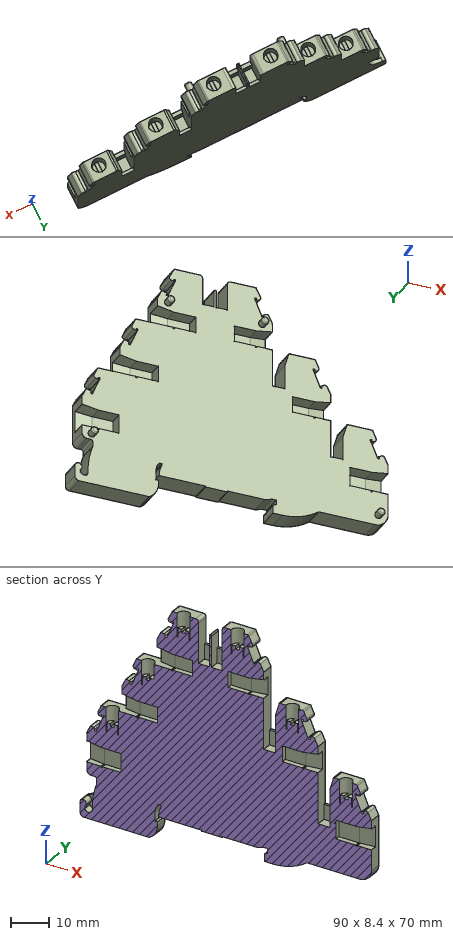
import cadquery as cq

LENGTH = 90.0
HEIGHT = 70.0
THICKNESS = 6.0

TIER_TOPS = [35.2, 52.5, HEIGHT]
LEFT_FACES = [2.1, 13.0, 23.8]
RIGHT_FACES = [LENGTH, 73.5, 56.8]

LIP_TOP_IN = 4.5
LIP_NOSE_IN = 3.4
LIP_FACE_IN = 3.5
LIP_UNDERSIDE_IN = 3.9
LIP_NOSE_HIGH = 2.2
LIP_NOSE_LOW = 3.2
LIP_ROOT_IN = 4.95
LIP_ROOT_DOWN = 3.5
NOTCH_FOOT_IN = 3.15
NOTCH_FOOT_DOWN = 7.7
BUMP_INNER_IN = 2.25
BUMP_OUTER_IN = 1.1
BUMP_DOWN = 7.0
BUMP_RISE = 0.3
SHOULDER_DOWN = 9.45
NOTCH_DROPS = [0, 0, 0.3]
TOP_ROUND = 0.3
RELIEF_RADIUS = 0.3
RELIEF_OFFSETS = [(4.9, 3.15), (2.8, 7.9)]
RELIEF_DEPTH = 5.6

SIDE_SLOT_WIDTH = 3.5
SIDE_SLOT_DEPTH = 10.8
TOWER_DRAFT_DEPTH = 4.0
TOWER_DRAFT_WIDTH = 1.2
TOWER_ROUND = 0.45
TOP_SLOT_WIDTH = 7.1
TOP_SLOT_DEPTH = 8.6
TOP_SLOT_ROUND = 0.9
TOP_CENTER_X = (LEFT_FACES[2] + RIGHT_FACES[2]) / 2
RECESS_FRONT = 1.1
RECESS_BACK = 5.2
RECESS_DEPTH = 4.5

PLATE_THICKNESS = 0.7
PLATE_TOP = 66.5
PLATE_POINT = 0.3

POCKET_INNER_LENGTH = 6.3
SHORT_POCKET_INNER_LENGTH = 5.9
POCKET_MOUTH_LENGTH = 4.7
POCKET_INNER_DEPTH = 3.9
POCKET_MOUTH_DEPTHS = [4.4, 4.6, 4.6]
POCKET_FLOORS = [17.0, TIER_TOPS[0], TIER_TOPS[1]]
POCKET_HEIGHTS = [5.5, 4.6, 4.6]
POCKET_MOUTH_RISES = [0.7, 0.8, 0.8]
GROOVE_WIDTH = 0.4
GROOVE_DEPTH = 0.3

WELL_DIAMETER = 3.8
WELL_DEPTH = 7.2
WELLS_IN = [7.9, 8.0, 8.2]
WELL_Y = 2.5
SCREW_DIAMETER = 3.5
SCREW_DOWN = 4.5
DRIVER_SLOT_WIDTH = 1.0
DRIVER_SLOT_DEPTH = 0.9

PIN_DIAMETER = 2.0
PIN_LENGTH = 2.4
PIN_TIP_DIAMETER = 1.2
PIN_CENTERS = [(4.8, 14.9), (26.7, 59.5), (53.7, 59.5), (87.1, 10.1)]

BASE_Z = 7.0
CORNER_RADIUS = 3.8
PAD_START = 37.5
PAD_END = 43.8
PAD_Z = 6.75
WEB_FRONT = 4.95


def tower_edge(face, top, drop, inward):
    """Tower edge from the shoulder up to the top corner; inward is +1 on the left, -1 on the right.

    Each entry is a point and whether it is the mid-point of an arc to the next point.
    """
    offsets = [
        (0, SHOULDER_DOWN + drop, False),
        (BUMP_OUTER_IN, BUMP_DOWN + BUMP_RISE + drop, False),
        ((BUMP_OUTER_IN + BUMP_INNER_IN) / 2, BUMP_DOWN + drop, True),
        (BUMP_INNER_IN, BUMP_DOWN + BUMP_RISE + drop, False),
        (NOTCH_FOOT_IN, NOTCH_FOOT_DOWN + drop, False),
        (LIP_ROOT_IN, LIP_ROOT_DOWN + drop, False),
        (LIP_UNDERSIDE_IN, LIP_NOSE_LOW + drop, False),
        (LIP_NOSE_IN, (LIP_NOSE_LOW + LIP_NOSE_HIGH) / 2 + drop, True),
        (LIP_FACE_IN, LIP_NOSE_HIGH + drop, False),
        (LIP_TOP_IN - TOP_ROUND / 2 + drop, TOP_ROUND, False),
        (LIP_TOP_IN + drop, TOP_ROUND / 4, True),
        (LIP_TOP_IN + TOP_ROUND + drop, 0, False),
    ]
    return [((face + inward * x, top - z), is_mid) for x, z, is_mid in offsets]


def draw_edge(sketch, entries):
    """Draw lines through the points, with an arc wherever a mid-point comes before the next point."""
    arc_mid = None
    for point, is_mid in entries:
        if is_mid:
            arc_mid = point
        elif arc_mid:
            sketch = sketch.threePointArc(arc_mid, point)
            arc_mid = None
        else:
            sketch = sketch.lineTo(*point)
    return sketch


def draw_lines(sketch, points):
    return draw_edge(sketch, [(point, False) for point in points])


def prism(sketch, front, back):
    """Extrude an XZ sketch from Y = front to Y = back."""
    return sketch.extrude(-(back - front)).translate((0, front, 0))


def block(x_start, x_end, y_start, y_end, z_start, z_end):
    size = (x_end - x_start, y_end - y_start, z_end - z_start)
    return cq.Workplane("XY").box(*size, centered=False).translate((x_start, y_start, z_start))


def make_body():
    """Full profile, drawn from the left foot along the underside, up the right and down the left."""
    path = cq.Workplane("XZ").moveTo(1.2, 0).lineTo(21.3, 0)
    path = path.threePointArc((23.0, 1.4), (24.0, 4.4)).lineTo(24.0, 5.6).lineTo(23.2, 5.6)
    path = path.lineTo(23.2, 8.3).threePointArc((23.6, 9.6), (24.3, 10.8)).lineTo(25.0, 10.8)
    path = path.lineTo(25.0, 10.35).threePointArc((24.4, 8.7), (24.2, BASE_Z))
    path = draw_lines(path, [(PAD_START, BASE_Z), (PAD_START, PAD_Z), (PAD_END, PAD_Z), (PAD_END, BASE_Z)])
    path = draw_lines(path, [(54.5, BASE_Z), (56.7, 7.65), (57.9, 7.65)])
    path = draw_lines(path, [(57.9, 6.4), (56.9, 5.8), (56.9, 3.5)])
    path = path.lineTo(59.6, 3.5).threePointArc((65.25, 4.5), (70.0, BASE_Z))
    path = path.lineTo(LENGTH - CORNER_RADIUS, BASE_Z)
    path = path.tangentArcPoint((LENGTH, BASE_Z + CORNER_RADIUS), relative=False)
    for tier in range(3):
        top = TIER_TOPS[tier]
        path = draw_edge(path, tower_edge(RIGHT_FACES[tier], top, NOTCH_DROPS[tier], -1))
        if tier < 2:
            slot_start = RIGHT_FACES[tier + 1]
            slot_end = slot_start + SIDE_SLOT_WIDTH
            corner = slot_end + TOWER_DRAFT_WIDTH
            path = path.lineTo(corner + TOWER_ROUND, top)
            round_end = (corner - TOWER_ROUND / 4, top - TOWER_ROUND)
            path = path.threePointArc((corner, top - TOWER_ROUND / 5), round_end)
            path = path.lineTo(slot_end, top - TOWER_DRAFT_DEPTH)
            path = path.lineTo(slot_end, top - SIDE_SLOT_DEPTH).lineTo(slot_start, top - SIDE_SLOT_DEPTH)
    for tier in (2, 1, 0):
        upward_edge = tower_edge(LEFT_FACES[tier], TIER_TOPS[tier], NOTCH_DROPS[tier], 1)
        path = draw_edge(path, upward_edge[::-1])
        if tier > 0:
            path = path.lineTo(LEFT_FACES[tier], TIER_TOPS[tier - 1])
    path = path.lineTo(LEFT_FACES[0], 14.5).threePointArc((2.5, 13.6), (3.4, 13.2)).lineTo(4.4, 13.2)
    path = path.threePointArc((4.95, 13.05), (5.1, 12.6)).lineTo(5.1, 11.25)
    path = path.threePointArc((4.1, 7.7), (3.8, 3.3))
    path = path.threePointArc((2.8, 2.1), (1.6, 2.9)).lineTo(1.6, 3.5)
    path = path.threePointArc((2.1, 4.4), (1.0, 5.4)).threePointArc((0.3, 5.0), (0, 4.3))
    path = path.lineTo(0, 1.2).threePointArc((0.4, 0.4), (1.2, 0)).close()
    return prism(path, 0, THICKNESS)


def make_hook_web():
    """Thin wall that closes the back of the hook groove."""
    path = cq.Workplane("XZ").moveTo(1.0, 5.4).lineTo(3.5, 6.8).threePointArc((4.0, 7.3), (4.2, 8.1))
    path = draw_lines(path, [(4.5, 8.1), (4.5, 1.8), (1.0, 1.8)]).close()
    return prism(path, WEB_FRONT, THICKNESS)


def make_top_slot():
    left = TOP_CENTER_X - TOP_SLOT_WIDTH / 2
    right = TOP_CENTER_X + TOP_SLOT_WIDTH / 2
    floor = HEIGHT - TOP_SLOT_DEPTH
    path = cq.Workplane("XZ").moveTo(left, floor).lineTo(left, HEIGHT - TOP_SLOT_ROUND)
    path = path.radiusArc((left - TOP_SLOT_ROUND, HEIGHT), -TOP_SLOT_ROUND)
    path = path.lineTo(right + TOP_SLOT_ROUND, HEIGHT)
    path = path.radiusArc((right, HEIGHT - TOP_SLOT_ROUND), -TOP_SLOT_ROUND)
    path = path.lineTo(right, floor).close()
    recess = block(left, right, RECESS_FRONT, RECESS_BACK, floor - RECESS_DEPTH, floor)
    return prism(path, 0, THICKNESS).union(recess)


def make_plate():
    half = PLATE_THICKNESS / 2
    bottom = HEIGHT - TOP_SLOT_DEPTH - RECESS_DEPTH
    outline = [
        (TOP_CENTER_X - half, bottom),
        (TOP_CENTER_X - half, PLATE_TOP - PLATE_POINT),
        (TOP_CENTER_X, PLATE_TOP),
        (TOP_CENTER_X + half, PLATE_TOP - PLATE_POINT),
        (TOP_CENTER_X + half, bottom),
    ]
    return prism(cq.Workplane("XZ").polyline(outline).close(), 0, THICKNESS)


def make_side_recess(tier):
    start = RIGHT_FACES[tier + 1]
    floor = TIER_TOPS[tier] - SIDE_SLOT_DEPTH
    return block(start, start + SIDE_SLOT_WIDTH, RECESS_FRONT, RECESS_BACK, floor - RECESS_DEPTH, floor)


def make_pocket(face, tier, inward, inner_length):
    """Inner pocket that widens towards its mouth, with a fine groove across the floor between them."""
    floor = POCKET_FLOORS[tier]
    roof = floor + POCKET_HEIGHTS[tier]
    neck = face + inward * POCKET_MOUTH_LENGTH
    end = neck + inward * inner_length
    inner = block(min(neck, end), max(neck, end), 0, POCKET_INNER_DEPTH, floor, roof)
    mouth_height = POCKET_HEIGHTS[tier] + POCKET_MOUTH_RISES[tier]
    mouth = (
        cq.Workplane("YZ", origin=(face, 0, floor))
        .rect(POCKET_MOUTH_DEPTHS[tier], mouth_height, centered=False)
        .workplane(offset=inward * POCKET_MOUTH_LENGTH)
        .rect(POCKET_INNER_DEPTH, POCKET_HEIGHTS[tier], centered=False)
        .loft(ruled=True)
    )
    groove_start = neck - GROOVE_WIDTH / 2
    groove_end = groove_start + GROOVE_WIDTH
    groove = block(groove_start, groove_end, 0, POCKET_INNER_DEPTH, floor - GROOVE_DEPTH, floor)
    return inner.union(mouth).union(groove)


def make_reliefs(face, top, drop, inward):
    """Small round reliefs in the two inner corners of a marker notch."""
    centers = [(face + inward * x, top - z - drop) for x, z in RELIEF_OFFSETS]
    return prism(cq.Workplane("XZ").pushPoints(centers).circle(RELIEF_RADIUS), 0, RELIEF_DEPTH)


def make_well(x, top):
    """Screw well with the slotted screw head left standing in it."""
    floor = top - WELL_DEPTH
    screw_top = top - SCREW_DOWN
    half_slot = DRIVER_SLOT_WIDTH / 2
    reach = SCREW_DIAMETER / 2
    well = cq.Workplane("XY", origin=(x, WELL_Y, floor)).circle(WELL_DIAMETER / 2).extrude(WELL_DEPTH)
    screw = cq.Workplane("XY", origin=(x, WELL_Y, floor)).circle(reach).extrude(screw_top - floor)
    slot_bottom = screw_top - DRIVER_SLOT_DEPTH
    slot = block(x - half_slot, x + half_slot, WELL_Y - reach, WELL_Y + reach, slot_bottom, screw_top)
    return well.cut(screw.cut(slot))


def make_pin(x, z):
    pin = cq.Workplane("XZ", origin=(x, 0, z)).circle(PIN_DIAMETER / 2).extrude(PIN_LENGTH)
    return pin.faces("<Y").edges().fillet((PIN_DIAMETER - PIN_TIP_DIAMETER) / 2)


result = make_body().union(make_hook_web()).cut(make_top_slot()).union(make_plate())
for tier in range(2):
    result = result.cut(make_side_recess(tier))
for faces, inward in ((LEFT_FACES, 1), (RIGHT_FACES, -1)):
    for tier, face in enumerate(faces):
        top = TIER_TOPS[tier]
        is_short_pocket = tier == 0 and inward == 1
        inner_length = SHORT_POCKET_INNER_LENGTH if is_short_pocket else POCKET_INNER_LENGTH
        result = result.cut(make_pocket(face, tier, inward, inner_length))
        result = result.cut(make_reliefs(face, top, NOTCH_DROPS[tier], inward))
        result = result.cut(make_well(face + inward * WELLS_IN[tier], top))
for x, z in PIN_CENTERS:
    result = result.union(make_pin(x, z))